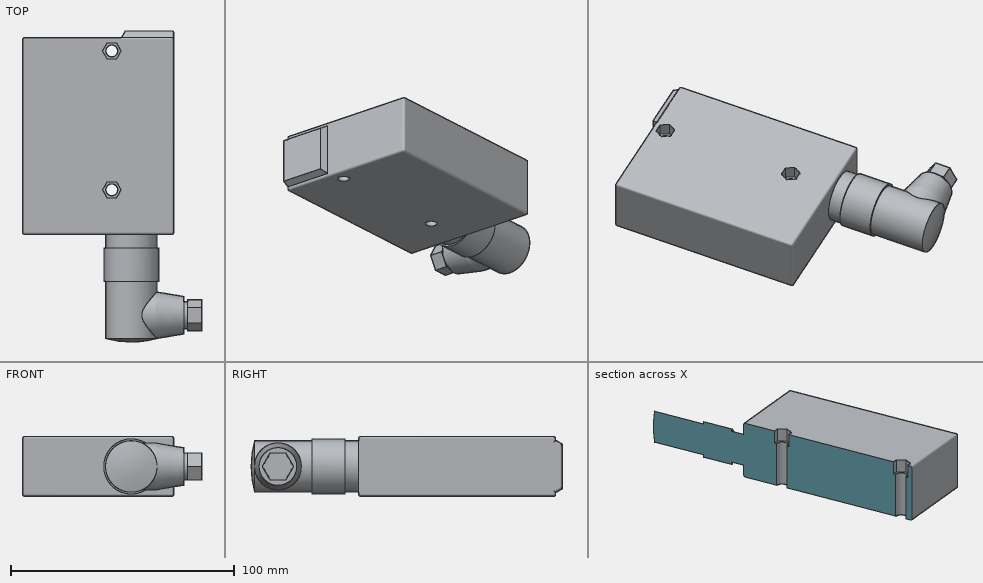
import cadquery as cq
import math

HOUSING_WIDTH = 67.5
HOUSING_LENGTH = 88.0
HOUSING_HEIGHT = 26.8
EDGE_RADIUS = 1.0

WINDOW_HEIGHT = 3.0
WINDOW_WIDTH = 23.4
WINDOW_SPAN = 23.4
WINDOW_TAPER = 30.0
WINDOW_ROOT = 2.0

HOLE_X = 39.8
HOLE_DIAMETER = 5.2
HOLE_SPACING = 62.0
REAR_HOLE_INSET = 6.0
HOLE_YS = (
    HOUSING_LENGTH - REAR_HOLE_INSET,
    HOUSING_LENGTH - REAR_HOLE_INSET - HOLE_SPACING,
)
NUT_ACROSS_FLATS = 7.2
NUT_POCKET_DEPTH = 6.0

BARREL_X = 48.5
BARREL_RADIUS = 11.5
BARREL_LENGTH = 46.4
DOME_HEIGHT = 1.6
COLLAR_RADIUS = 12.3
COLLAR_START = 6.0
COLLAR_LENGTH = 14.9

OUTLET_Y = -36.0
OUTLET_RADIUS = 10.5
OUTLET_TIP_RADIUS = 8.4
CONE_START = 11.0
CONE_END = 23.5
NECK_END = 25.2
NUT_END = 31.5
GLAND_CORNER_RADIUS = 7.0
NECK_RADIUS = GLAND_CORNER_RADIUS * math.cos(math.radians(30))


def make_housing():
    """Rectangular block with every edge rounded."""
    block = cq.Workplane("XY").box(
        HOUSING_WIDTH, HOUSING_LENGTH, HOUSING_HEIGHT, centered=(False, False, True)
    )
    return block.edges().fillet(EDGE_RADIUS)


def make_window():
    """Pad tapered on three sides, with a straight, rounded wall on the +X side."""
    rear_plane = cq.Workplane("XZ", origin=(HOUSING_WIDTH, HOUSING_LENGTH, 0))
    tapered = rear_plane.rect(2 * WINDOW_WIDTH, WINDOW_SPAN).extrude(-WINDOW_HEIGHT, taper=WINDOW_TAPER)
    root = rear_plane.rect(2 * WINDOW_WIDTH, WINDOW_SPAN).extrude(WINDOW_ROOT)
    inner_half = cq.Workplane("XY").box(
        HOUSING_WIDTH, 2 * HOUSING_LENGTH, HOUSING_HEIGHT, centered=(False, False, True)
    )
    window = tapered.union(root).intersect(inner_half)
    return window.faces(">X").edges().fillet(EDGE_RADIUS)


def cut_mounting_holes(housing):
    """Through holes with hexagonal pockets sunk from the top face."""
    centres = [(HOLE_X, y) for y in HOLE_YS]
    nut_corner_diameter = NUT_ACROSS_FLATS / math.cos(math.radians(30))
    top_plane = cq.Workplane("XY", origin=(0, 0, HOUSING_HEIGHT / 2))
    holes = top_plane.pushPoints(centres).circle(HOLE_DIAMETER / 2).extrude(-HOUSING_HEIGHT)
    pockets = top_plane.pushPoints(centres).polygon(6, nut_corner_diameter).extrude(-NUT_POCKET_DEPTH)
    return housing.cut(holes).cut(pockets)


def make_barrel():
    """Connector barrel with a domed end and a wider collar."""
    dome_radius = (BARREL_RADIUS**2 + DOME_HEIGHT**2) / (2 * DOME_HEIGHT)
    dome_centre = -BARREL_LENGTH - DOME_HEIGHT + dome_radius
    half_angle = math.asin(BARREL_RADIUS / dome_radius) / 2
    dome_mid = (
        dome_radius * math.sin(half_angle),
        dome_centre - dome_radius * math.cos(half_angle),
    )
    barrel = (
        cq.Workplane("XY", origin=(BARREL_X, 0, 0))
        .lineTo(BARREL_RADIUS, 0)
        .lineTo(BARREL_RADIUS, -BARREL_LENGTH)
        .threePointArc(dome_mid, (0, -BARREL_LENGTH - DOME_HEIGHT))
        .close()
        .revolve(360, (0, 0), (0, 1))
    )
    collar = (
        cq.Workplane("XZ", origin=(BARREL_X, -COLLAR_START, 0))
        .circle(COLLAR_RADIUS)
        .extrude(COLLAR_LENGTH)
    )
    return barrel.union(collar)


def make_outlet():
    """Cable outlet: cylinder, cone and neck, ending in a hexagonal gland nut."""
    outlet = (
        cq.Workplane("XY", origin=(BARREL_X, OUTLET_Y, 0))
        .lineTo(0, OUTLET_RADIUS)
        .lineTo(CONE_START, OUTLET_RADIUS)
        .lineTo(CONE_END, OUTLET_TIP_RADIUS)
        .lineTo(CONE_END, NECK_RADIUS)
        .lineTo(NECK_END, NECK_RADIUS)
        .lineTo(NECK_END, 0)
        .close()
        .revolve(360, (0, 0), (1, 0))
    )
    gland_nut = (
        cq.Workplane("YZ", origin=(BARREL_X + NECK_END, OUTLET_Y, 0))
        .polygon(6, 2 * GLAND_CORNER_RADIUS)
        .extrude(NUT_END - NECK_END)
    )
    return outlet.union(gland_nut)


housing = cut_mounting_holes(make_housing().union(make_window()))
result = housing.union(make_barrel()).union(make_outlet())